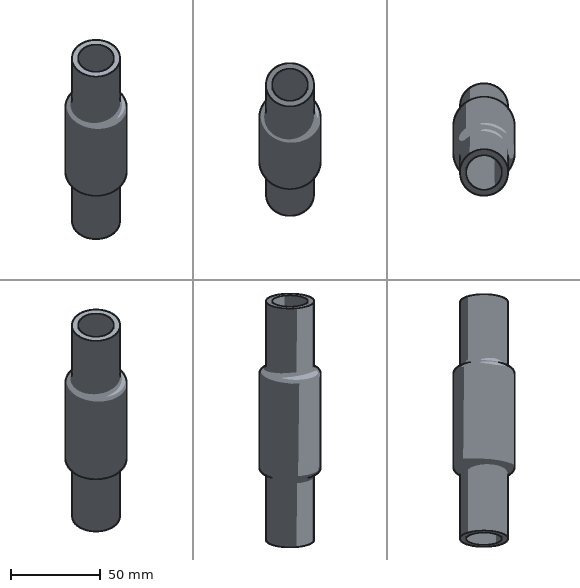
import cadquery as cq
import math

length = 140.0
body_diameter = 34.5
pipe_diameter = 26.9
bore_diameter = 19.9
body_straight_length = 54.3
convex_radius = 2.8
concave_radius = 3.0

body_radius = body_diameter / 2
pipe_radius = pipe_diameter / 2
bore_radius = bore_diameter / 2
half_length = length / 2
body_half = body_straight_length / 2

turn_angle = math.acos(1 - (body_radius - pipe_radius) / (convex_radius + concave_radius))
shoulder_end = body_half + (convex_radius + concave_radius) * math.sin(turn_angle)


def convex_point(angle):
    """Point (radius, height) on the convex arc, turned by angle from the body side."""
    return (
        body_radius - convex_radius * (1 - math.cos(angle)),
        body_half + convex_radius * math.sin(angle),
    )


def concave_point(angle):
    """Point (radius, height) on the concave arc, turned by angle from the pipe side."""
    return (
        pipe_radius + concave_radius * (1 - math.cos(angle)),
        shoulder_end - concave_radius * math.sin(angle),
    )


def below(point):
    """Mirror a (radius, height) point across the middle plane."""
    radius, height = point
    return (radius, -height)


body_end = (body_radius, body_half)
convex_middle = convex_point(turn_angle / 2)
arc_joint = convex_point(turn_angle)
concave_middle = concave_point(turn_angle / 2)
pipe_start = (pipe_radius, shoulder_end)
pipe_end = (pipe_radius, half_length)
bore_end = (bore_radius, half_length)

wall = (
    cq.Workplane("XZ")
    .moveTo(*below(bore_end))
    .lineTo(*below(pipe_end))
    .lineTo(*below(pipe_start))
    .threePointArc(below(concave_middle), below(arc_joint))
    .threePointArc(below(convex_middle), below(body_end))
    .lineTo(*body_end)
    .threePointArc(convex_middle, arc_joint)
    .threePointArc(concave_middle, pipe_start)
    .lineTo(*pipe_end)
    .lineTo(*bore_end)
    .close()
)

result = wall.revolve(360, (0, 0, 0), (0, 1, 0))